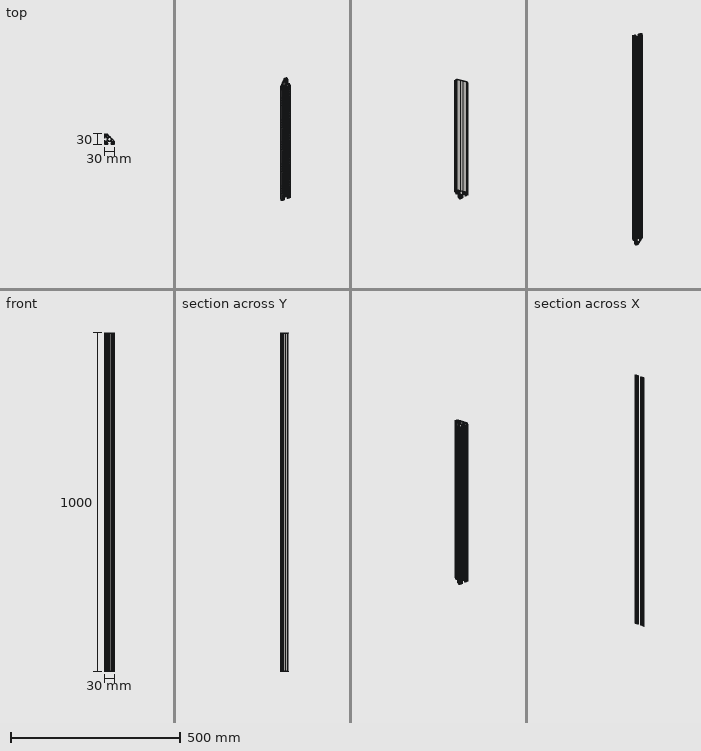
import cadquery as cq
import math

SIDE = 30.0
LENGTH = 1000.0
HALF = SIDE / 2
HALF_LENGTH = LENGTH / 2

SHORT_FACE = 8.6
CORNER_RADIUS = 2.0
DIAGONAL_RADIUS = 1.0

RECESS_WIDTH = 11.2
RECESS_DEPTH = 0.5
SLOT_OPENING = 8.2
LIP_DEPTH = 1.8
CAVITY_WIDTH = 16.5
CAVITY_WALL_DEPTH = 3.5
FLOOR_WIDTH = 8.0
SLOT_DEPTH = 7.5
GROOVE_WIDTH = 1.5
GROOVE_DEPTH = 0.5

BORE_DIAMETER = 10.5
CORNER_HOLE_WIDTH = 2.8
CORNER_HOLE_INSET = 3.75
DIAGONAL_WALL = 1.0
VOID_INNER_EDGE = 8.5
VOID_BOTTOM_EDGE = 8.5


def bar(points):
    """Full-length prism over a closed XY outline."""
    return cq.Workplane("XY").polyline(points).close().extrude(LENGTH)


def mirrored(points):
    """Outline reflected about the line X = Y."""
    return [(y, x) for x, y in points]


def body():
    shoulder = SHORT_FACE - HALF
    square_corners = [(-HALF, -HALF), (HALF, -HALF), (-HALF, HALF)]
    diagonal_corners = [(HALF, shoulder), (shoulder, HALF)]
    outline = [
        square_corners[0],
        square_corners[1],
        diagonal_corners[0],
        diagonal_corners[1],
        square_corners[2],
    ]
    solid = bar(outline)
    for corners, radius in ((square_corners, CORNER_RADIUS), (diagonal_corners, DIAGONAL_RADIUS)):
        for x, y in corners:
            nearest = cq.selectors.NearestToPointSelector((x, y, HALF_LENGTH))
            solid = solid.edges("|Z").edges(nearest).fillet(radius)
    return solid


def slot_outline():
    """Outline of the slot that opens in the -Y face."""
    face = -HALF
    left = [
        (-RECESS_WIDTH / 2, face),
        (-RECESS_WIDTH / 2, face + RECESS_DEPTH),
        (-SLOT_OPENING / 2, face + RECESS_DEPTH),
        (-SLOT_OPENING / 2, face + LIP_DEPTH),
        (-CAVITY_WIDTH / 2, face + LIP_DEPTH),
        (-CAVITY_WIDTH / 2, face + CAVITY_WALL_DEPTH),
        (-FLOOR_WIDTH / 2, face + SLOT_DEPTH),
        (-GROOVE_WIDTH / 2, face + SLOT_DEPTH),
    ]
    groove_bottom = (0, face + SLOT_DEPTH + GROOVE_DEPTH)
    right = [(-x, y) for x, y in reversed(left)]
    return left + [groove_bottom] + right


def void_outline():
    """Triangle between the -X slot, the +Y corner and the 45 degree face."""
    inner_x = VOID_INNER_EDGE - HALF
    bottom_y = HALF - VOID_BOTTOM_EDGE
    slope_sum = SHORT_FACE - DIAGONAL_WALL * math.sqrt(2)
    return [
        (inner_x, bottom_y),
        (slope_sum - bottom_y, bottom_y),
        (inner_x, slope_sum - inner_x),
    ]


def centred_hollows():
    inset = HALF - CORNER_HOLE_INSET
    corner_centres = [(-inset, -inset), (inset, -inset), (-inset, inset)]
    bore = cq.Workplane("XY").circle(BORE_DIAMETER / 2).extrude(LENGTH)
    squares = cq.Workplane("XY").pushPoints(corner_centres).rect(CORNER_HOLE_WIDTH, CORNER_HOLE_WIDTH)
    return bore, squares.extrude(LENGTH)


result = body()
for outline in (slot_outline(), void_outline()):
    result = result.cut(bar(outline)).cut(bar(mirrored(outline)))
for hollow in centred_hollows():
    result = result.cut(hollow)